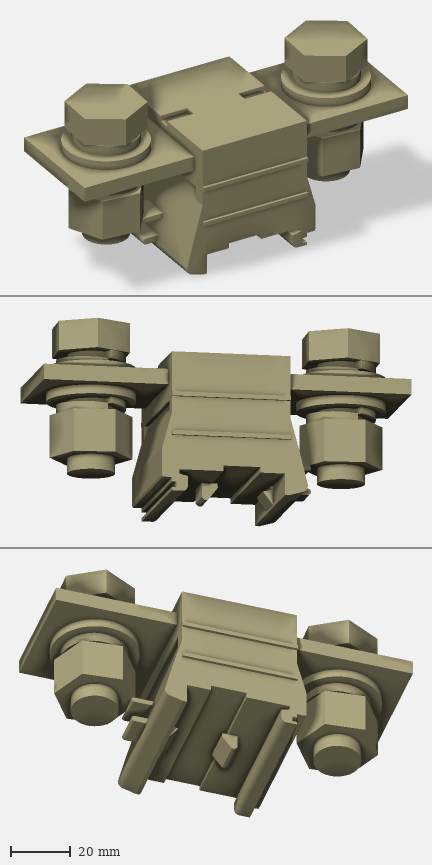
import cadquery as cq
import math


BODY_WIDTH = 51.0
BODY_TOP = 47.4
COVER_HALF_LENGTH = 20.1
COVER_BOTTOM = 26.5
WALL_BEND = (-23.1, 15.8)
FOOT_CORNER = (-26.6, 1.9)
FOOT_ROUND_DIAMETER = 4.8
HOOK_CORNER = (14.6, 0)
HOOK_ROUND_DIAMETER = 3.8
BACK_WALL_Y = 23.5
RAIL_SEAT_Z = 7.2
RAIL_RELIEF_Z = 9.1

RECESS_WIDTH = 42.5
RECESS_TOP = 31.5

RIDGE_DEPTH = 1.0
RIDGE_HEIGHT = 1.5
RIDGE_BOTTOMS = (18.9, 32.1)

SLOT_WIDTH = 4.2
SLOT_LENGTH = 10.2
SLOT_DEPTH = 2.0

CLAMP_WIDTH = 10.5
TAB_END_Y = -31.2
TAB_ROOT_Y = -21.2
TAB_HEIGHTS = ((4.6, 6.9), (13.0, 14.8))
HOOK_ROOT_OVERLAP = 1.2

BAR_LENGTH = 125
BAR_WIDTH = 40
BAR_BOTTOM = 37.2
BAR_THICKNESS = 5.2
BAR_TOP = BAR_BOTTOM + BAR_THICKNESS

BOLT_Y = 42.5
BOLT_DIAMETER = 16.0
BOLT_BOTTOM = 10
HEX_ACROSS_FLATS = 24.0
HEX_DIAMETER = HEX_ACROSS_FLATS / math.cos(math.radians(30))
HEAD_TOP = 60.2
HEAD_HEIGHT = 10
HEAD_BOTTOM = HEAD_TOP - HEAD_HEIGHT
HEAD_ANGLE = -1.7
NUT_BOTTOM = 15.1
NUT_TOP = 29.6
NUT_ANGLE = 24.7
WASHER_DIAMETER = 30
WASHER_THICKNESS = 3.2
LOWER_WASHER_THICKNESS = 3.0

SPRING_DIAMETER = 23.2
SPRING_BORE = 15.8
SPRING_THICKNESS = 3.5
SPRING_PITCH = 3.8
SPRING_START_ANGLE = 197.5
SPRING_TURN = 353
UPPER_SPRING_SINK = 2.0
LOWER_SPRING_SINK = 1.1


def box(x_size, y_range, z_range):
    """Box centred on X = 0 between two Y and two Z limits."""
    (y0, y1), (z0, z1) = y_range, z_range
    return (
        cq.Workplane("XY", origin=(0, (y0 + y1) / 2, z0))
        .rect(x_size, y1 - y0)
        .extrude(z1 - z0)
    )


def prism(points, width):
    """Extrude a (y, z) outline along X, centred on X = 0."""
    return cq.Workplane("YZ").polyline(points).close().extrude(width / 2, both=True)


def make_body():
    outline = [
        (-COVER_HALF_LENGTH, BODY_TOP),
        (-COVER_HALF_LENGTH, COVER_BOTTOM),
        WALL_BEND,
        FOOT_CORNER,
        (-19.9, 0),
        (-18.4, 0),
        (-18.4, RAIL_SEAT_Z),
        (-10, RAIL_SEAT_Z),
        (-10, RAIL_RELIEF_Z),
        (2.5, RAIL_RELIEF_Z),
        (2.5, RAIL_SEAT_Z),
        (17.6, RAIL_SEAT_Z),
        (17.6, 5.9),
        (16.1, 5.4),
        (14.6, 5.1),
        HOOK_CORNER,
        (COVER_HALF_LENGTH, 0),
        (COVER_HALF_LENGTH, 1.1),
        (18.6, 1.1),
        (18.6, 3.0),
        (COVER_HALF_LENGTH, 3.0),
        (COVER_HALF_LENGTH, 4.5),
        (23.1, 4.5),
        (BACK_WALL_Y, 5.2),
        (BACK_WALL_Y, 14.2),
        (COVER_HALF_LENGTH, COVER_BOTTOM),
        (COVER_HALF_LENGTH, BODY_TOP),
    ]
    body = prism(outline, BODY_WIDTH)
    rounded_corners = (
        (FOOT_CORNER, FOOT_ROUND_DIAMETER),
        (HOOK_CORNER, HOOK_ROUND_DIAMETER),
    )
    for corner, diameter in rounded_corners:
        corner_edge = cq.selectors.NearestToPointSelector((0, *corner))
        body = body.edges("|X").edges(corner_edge).fillet(diameter / 2)
    return body


def make_recess(side):
    """Wedge removed so that the sloped end wall carries on up below the cover."""
    slope = (COVER_HALF_LENGTH + WALL_BEND[0]) / (COVER_BOTTOM - WALL_BEND[1])
    depth = -slope * (RECESS_TOP - COVER_BOTTOM)
    face = side * COVER_HALF_LENGTH
    wedge = [
        (face, COVER_BOTTOM),
        (face, RECESS_TOP),
        (face - side * depth, RECESS_TOP),
    ]
    return prism(wedge, RECESS_WIDTH)


def make_ridge(bottom):
    y_range = (-COVER_HALF_LENGTH, COVER_HALF_LENGTH)
    return box(BODY_WIDTH + 2 * RIDGE_DEPTH, y_range, (bottom, bottom + RIDGE_HEIGHT))


def make_slot(side):
    ends = sorted((side * COVER_HALF_LENGTH, side * (COVER_HALF_LENGTH - SLOT_LENGTH)))
    return box(SLOT_WIDTH, ends, (BODY_TOP - SLOT_DEPTH, BODY_TOP))


def make_tab(z_range):
    """Flat tab with a fully rounded end."""
    bottom, top = z_range
    radius = (top - bottom) / 2
    return (
        cq.Workplane("YZ")
        .moveTo(TAB_ROOT_Y, bottom)
        .lineTo(TAB_END_Y + radius, bottom)
        .threePointArc((TAB_END_Y, bottom + radius), (TAB_END_Y + radius, top))
        .lineTo(TAB_ROOT_Y, top)
        .close()
        .extrude(CLAMP_WIDTH / 2, both=True)
    )


def make_clamp_hooks():
    root_z = RAIL_SEAT_Z + HOOK_ROOT_OVERLAP
    rail_hook = [
        (-19.4, root_z),
        (-17.6, root_z),
        (-17.6, 5.9),
        (-14.9, 5.2),
        (-18.4, 0.8),
        (-19.4, 0.8),
    ]
    stop_hook = [
        (5.9, root_z),
        (3.1, root_z),
        (3.1, RAIL_SEAT_Z),
        (0.6, RAIL_SEAT_Z),
        (0.4, 5.9),
        (3.9, 1.5),
        (4.9, 1.5),
        (5.9, 2.4),
    ]
    return prism(rail_hook, CLAMP_WIDTH).union(prism(stop_hook, CLAMP_WIDTH))


def cylinder(diameter, bottom, top):
    return cq.Workplane("XY", origin=(0, 0, bottom)).circle(diameter / 2).extrude(top - bottom)


def hexagon(bottom, top, angle):
    """Hexagonal prism on the Z axis, turned by the given angle."""
    blank = cq.Workplane("XY", origin=(0, 0, bottom)).polygon(6, HEX_DIAMETER).extrude(top - bottom)
    return blank.rotate((0, 0, 0), (0, 0, 1), angle)


def make_spring_washer(bottom):
    inner = SPRING_BORE / 2
    outer = SPRING_DIAMETER / 2
    rise = SPRING_PITCH * SPRING_TURN / 360
    path = cq.Wire.makeHelix(SPRING_PITCH, rise, outer, lefthand=True)
    section = cq.Workplane("XZ").polyline([
        (inner, 0),
        (outer, 0),
        (outer, SPRING_THICKNESS),
        (inner, SPRING_THICKNESS),
    ]).close()
    coil = section.sweep(cq.Workplane(path), isFrenet=True)
    return coil.rotate((0, 0, 0), (0, 0, 1), SPRING_START_ANGLE).translate((0, 0, bottom))


def make_bolted_joint():
    """Bolt, nut and washers on the Z axis."""
    upper_washer_top = BAR_TOP + WASHER_THICKNESS
    joint = cylinder(BOLT_DIAMETER, BOLT_BOTTOM, HEAD_TOP)
    joint = joint.union(hexagon(HEAD_BOTTOM, HEAD_TOP, HEAD_ANGLE))
    joint = joint.union(hexagon(NUT_BOTTOM, NUT_TOP, NUT_ANGLE))
    joint = joint.union(cylinder(WASHER_DIAMETER, BAR_TOP, upper_washer_top))
    joint = joint.union(cylinder(WASHER_DIAMETER, BAR_BOTTOM - LOWER_WASHER_THICKNESS, BAR_BOTTOM))
    joint = joint.union(make_spring_washer(upper_washer_top - UPPER_SPRING_SINK))
    return joint.union(make_spring_washer(NUT_TOP - LOWER_SPRING_SINK))


result = make_body()
for end in (-1, 1):
    result = result.cut(make_recess(end)).cut(make_slot(end))
for ridge_bottom in RIDGE_BOTTOMS:
    result = result.union(make_ridge(ridge_bottom))
for tab_heights in TAB_HEIGHTS:
    result = result.union(make_tab(tab_heights))
result = result.union(make_clamp_hooks())
result = result.union(box(BAR_WIDTH, (-BAR_LENGTH / 2, BAR_LENGTH / 2), (BAR_BOTTOM, BAR_TOP)))
bolted_joint = make_bolted_joint()
for end in (-1, 1):
    result = result.union(bolted_joint.translate((0, end * BOLT_Y, 0)))